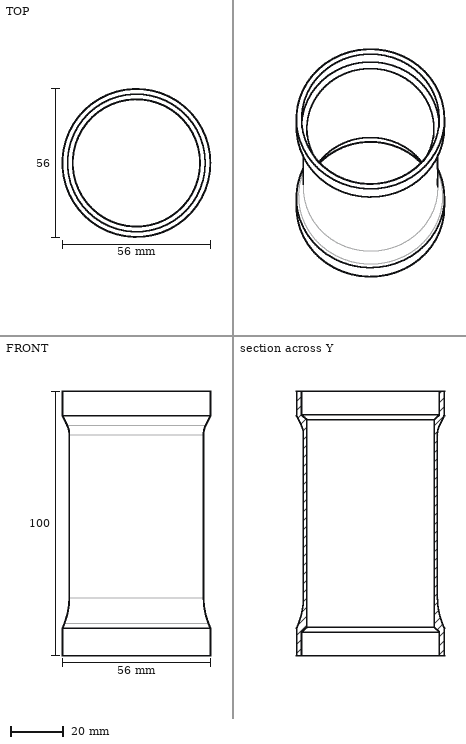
import cadquery as cq

length = 100.0
collar_radius = 28.0
body_radius = 25.4
bore_radius = 24.0

upper_collar_bottom = length - 9.3
upper_cone_bottom = length - 13.0
upper_cone_radius = 26.2
upper_blend_bottom = length - 16.5

lower_collar_top = 10.4
lower_cone_top = 12.4
lower_cone_radius = 27.2
lower_blend_top = 22.0

socket_radius = 26.0
socket_depth = 9.0
seat_depth = 1.8


def blend_middle(tangent_z, end_radius, end_z):
    """Midpoint of the arc that leaves the body at tangent_z and ends on a cone."""
    rise = end_radius - body_radius
    run = end_z - tangent_z
    arc_radius = (rise**2 + run**2) / (2 * rise)
    half_run = run / 2
    center = body_radius + arc_radius
    chord_offset = body_radius + rise / 2 - center
    stretch = arc_radius / (chord_offset**2 + half_run**2) ** 0.5
    return (center + chord_offset * stretch, tangent_z + half_run * stretch)


def make_outside():
    return (
        cq.Workplane("XZ")
        .lineTo(collar_radius, 0)
        .lineTo(collar_radius, lower_collar_top)
        .lineTo(lower_cone_radius, lower_cone_top)
        .threePointArc(
            blend_middle(lower_blend_top, lower_cone_radius, lower_cone_top),
            (body_radius, lower_blend_top),
        )
        .lineTo(body_radius, upper_blend_bottom)
        .threePointArc(
            blend_middle(upper_blend_bottom, upper_cone_radius, upper_cone_bottom),
            (upper_cone_radius, upper_cone_bottom),
        )
        .lineTo(collar_radius, upper_collar_bottom)
        .lineTo(collar_radius, length)
        .lineTo(0, length)
        .close()
        .revolve(360, (0, 0), (0, 1))
    )


def make_inside():
    seat_end = socket_depth + seat_depth
    return (
        cq.Workplane("XZ")
        .lineTo(socket_radius, 0)
        .lineTo(socket_radius, socket_depth)
        .lineTo(bore_radius, seat_end)
        .lineTo(bore_radius, length - seat_end)
        .lineTo(socket_radius, length - socket_depth)
        .lineTo(socket_radius, length)
        .lineTo(0, length)
        .close()
        .revolve(360, (0, 0), (0, 1))
    )


result = make_outside().cut(make_inside())